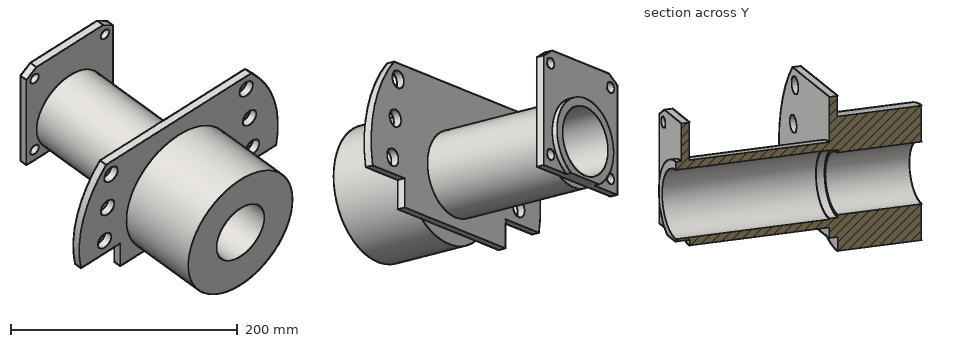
import cadquery as cq
import math

TOTAL_LENGTH = 233.5

TUBE_DIAMETER = 80.0
DRUM_DIAMETER = 126.0
DRUM_LENGTH = 79.9
TUBE_BORE = 64.0
PLATE_BORE = 62.5
DRUM_BORE = 57.5

PLATE_THICKNESS = 8.0

FLANGE_START = 5.3
FLANGE_WIDTH = 104.5
FLANGE_TOP = 75.0
FLANGE_BOTTOM = -34.8
CORNER_CUT_WIDTH = 12.0
CORNER_CUT_HEIGHT = 8.0
FLANGE_HOLE_DIAMETER = 10.0
FLANGE_HOLE_SPACING = 85.0
FLANGE_HOLE_HEIGHTS = (62.5, -22.3)

PLATE_RADIUS = 120.0
PLATE_TOP = 82.0
WING_BOTTOM = -22.8
TAB_BOTTOM = -50.0
TAB_WIDTH = 143.0
TAB_OFFSET = 1.0
PLATE_HOLE_DIAMETER = 16.0
PLATE_HOLES = ((81.5, 67.0), (85.6, 29.7), (89.2, -7.7))

DRUM_START = TOTAL_LENGTH - DRUM_LENGTH
PLATE_START = DRUM_START - PLATE_THICKNESS
FLANGE_END = FLANGE_START + PLATE_THICKNESS


def plane_at(x):
    """Work plane across the axis: local x is Y, local y is Z, extruding toward +X."""
    return cq.Workplane("YZ", origin=(x, 0, 0))


def cylinder(start, end, diameter):
    return plane_at(start).circle(diameter / 2).extrude(end - start)


def make_flange():
    half_width = FLANGE_WIDTH / 2
    top_half_width = half_width - CORNER_CUT_WIDTH
    corner_height = FLANGE_TOP - CORNER_CUT_HEIGHT
    outline = [
        (-half_width, FLANGE_BOTTOM),
        (half_width, FLANGE_BOTTOM),
        (half_width, corner_height),
        (top_half_width, FLANGE_TOP),
        (-top_half_width, FLANGE_TOP),
        (-half_width, corner_height),
    ]
    holes = [
        (side * FLANGE_HOLE_SPACING / 2, z)
        for side in (-1, 1)
        for z in FLANGE_HOLE_HEIGHTS
    ]
    flange = plane_at(FLANGE_START).polyline(outline).close().extrude(PLATE_THICKNESS)
    drills = plane_at(FLANGE_START).pushPoints(holes).circle(FLANGE_HOLE_DIAMETER / 2)
    return flange.cut(drills.extrude(PLATE_THICKNESS))


def make_mounting_plate():
    top_half_width = math.sqrt(PLATE_RADIUS**2 - PLATE_TOP**2)
    wing_half_width = math.sqrt(PLATE_RADIUS**2 - WING_BOTTOM**2)
    tab_left = TAB_OFFSET - TAB_WIDTH / 2
    tab_right = TAB_OFFSET + TAB_WIDTH / 2
    plate = (
        plane_at(PLATE_START)
        .moveTo(tab_left, TAB_BOTTOM)
        .lineTo(tab_right, TAB_BOTTOM)
        .lineTo(tab_right, WING_BOTTOM)
        .lineTo(wing_half_width, WING_BOTTOM)
        .threePointArc((PLATE_RADIUS, 0), (top_half_width, PLATE_TOP))
        .lineTo(-top_half_width, PLATE_TOP)
        .threePointArc((-PLATE_RADIUS, 0), (-wing_half_width, WING_BOTTOM))
        .lineTo(tab_left, WING_BOTTOM)
        .close()
        .extrude(PLATE_THICKNESS)
    )
    holes = [(side * y, z) for side in (-1, 1) for y, z in PLATE_HOLES]
    drills = plane_at(PLATE_START).pushPoints(holes).circle(PLATE_HOLE_DIAMETER / 2)
    return plate.cut(drills.extrude(PLATE_THICKNESS))


def make_front_collar():
    """Short end of the tube, trimmed flush with the flange's lower edge."""
    collar = cylinder(0, FLANGE_END, TUBE_DIAMETER)
    trim = plane_at(0).rect(TUBE_DIAMETER, TUBE_DIAMETER).extrude(FLANGE_END)
    trim = trim.translate((0, 0, FLANGE_BOTTOM + TUBE_DIAMETER / 2))
    return collar.intersect(trim)


def make_bore():
    """Through bore, stepping down at the mounting plate and again at the drum."""
    tube_bore = cylinder(0, PLATE_START, TUBE_BORE)
    plate_bore = cylinder(PLATE_START, DRUM_START, PLATE_BORE)
    drum_bore = cylinder(DRUM_START, TOTAL_LENGTH, DRUM_BORE)
    return tube_bore.union(plate_bore).union(drum_bore)


tube = cylinder(FLANGE_END, PLATE_START, TUBE_DIAMETER)
drum = cylinder(DRUM_START, TOTAL_LENGTH, DRUM_DIAMETER)

body = make_front_collar().union(make_flange()).union(tube)
body = body.union(make_mounting_plate()).union(drum)
result = body.cut(make_bore())